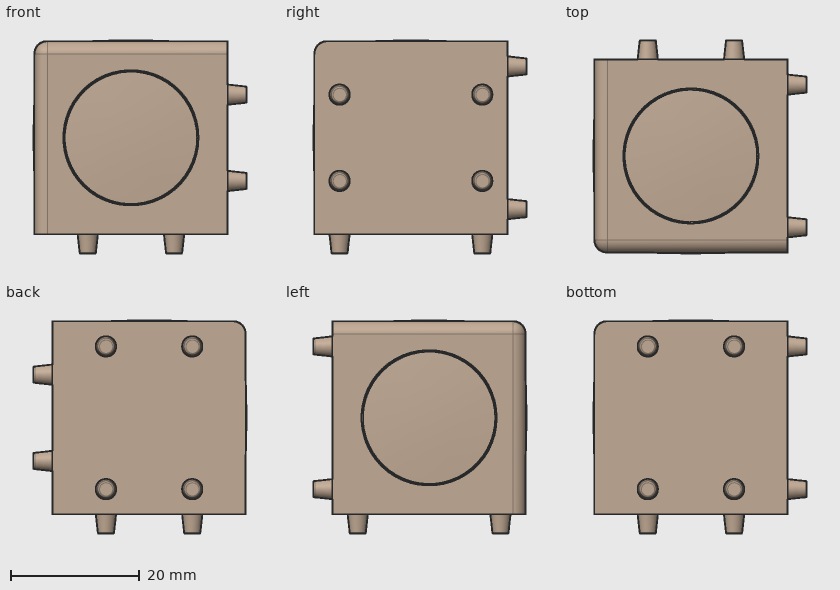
import cadquery as cq

OVERALL_SIZE = 33.15

CUBE_SIDE = 30.0
EDGE_RADIUS = 2.0
HALF_SIDE = CUBE_SIDE / 2

RECESS_RADIUS = 10.5
RIM_SIZE = 0.25
LENS_RADIUS = RECESS_RADIUS - RIM_SIZE
LENS_CROWN = 0.15
LENS_EDGE_THICKNESS = 1.0
SEAT_DEPTH = RIM_SIZE + LENS_EDGE_THICKNESS

PEG_LENGTH = OVERALL_SIZE - CUBE_SIDE - LENS_CROWN
PEG_BASE_RADIUS = 1.6
PEG_TIP_RADIUS = 1.25
PEG_TIP_ROUNDING = 0.25
PEG_NEAR_OFFSET = 6.7
PEG_FAR_OFFSET = 11.07

LENS_FACES = [
    cq.Plane(origin=(0, 0, HALF_SIDE), xDir=(1, 0, 0), normal=(0, 0, 1)),
    cq.Plane(origin=(0, -HALF_SIDE, 0), xDir=(1, 0, 0), normal=(0, -1, 0)),
    cq.Plane(origin=(-HALF_SIDE, 0, 0), xDir=(0, -1, 0), normal=(-1, 0, 0)),
]
PEG_FACES = [
    cq.Plane(origin=(0, 0, -HALF_SIDE), xDir=(1, 0, 0), normal=(0, 0, -1)),
    cq.Plane(origin=(0, HALF_SIDE, 0), xDir=(1, 0, 0), normal=(0, 1, 0)),
    cq.Plane(origin=(HALF_SIDE, 0, 0), xDir=(0, 0, 1), normal=(1, 0, 0)),
]


def make_block():
    """Cube with the three edges of one corner rounded."""
    block = cq.Workplane().box(CUBE_SIDE, CUBE_SIDE, CUBE_SIDE)
    edges = []
    for corner_edge in ("|X and <Y and >Z", "|Y and <X and >Z", "|Z and <X and <Y"):
        edges.append(block.edges(corner_edge).val())
    return cq.Workplane(block.val().fillet(EDGE_RADIUS, edges))


def make_recess(face):
    """Cutter for a lens seat: a countersunk rim above a flat-bottomed bore."""
    profile = (
        cq.Workplane("XZ")
        .moveTo(0, 0)
        .lineTo(RECESS_RADIUS, 0)
        .lineTo(LENS_RADIUS, -RIM_SIZE)
        .lineTo(LENS_RADIUS, -SEAT_DEPTH)
        .lineTo(0, -SEAT_DEPTH)
    )
    cutter = profile.close().revolve(360, (0, 0), (0, 1))
    return cutter.val().moved(cq.Location(face))


def make_lens(face):
    """Disc with a shallow spherical dome, filling its seat up to the rim."""
    dome_rise = LENS_CROWN + RIM_SIZE
    sphere_radius = (LENS_RADIUS**2 + dome_rise**2) / (2 * dome_rise)
    sphere_centre = (0, 0, LENS_CROWN - sphere_radius)
    blank = cq.Workplane().circle(LENS_RADIUS).extrude(SEAT_DEPTH + LENS_CROWN)
    blank = blank.translate((0, 0, -SEAT_DEPTH))
    ball = cq.Workplane("XZ").sphere(sphere_radius).translate(sphere_centre)
    lens = blank.intersect(ball)
    return lens.val().moved(cq.Location(face))


def make_peg(face, x, y):
    """Tapered peg with a rounded tip, standing on a face at local (x, y)."""
    peg = cq.Solid.makeCone(PEG_BASE_RADIUS, PEG_TIP_RADIUS, PEG_LENGTH)
    peg = cq.Workplane(peg).faces(">Z").edges().fillet(PEG_TIP_ROUNDING)
    return peg.val().moved(cq.Location((x, y, 0))).moved(cq.Location(face))


def make_housing():
    """Block with a lens seat on three faces and four pegs on each of the others."""
    housing = make_block()
    for face in LENS_FACES:
        housing = housing.cut(cq.Workplane(make_recess(face)))
    for face in PEG_FACES:
        for x in (-PEG_NEAR_OFFSET, PEG_NEAR_OFFSET):
            for y in (-PEG_FAR_OFFSET, PEG_FAR_OFFSET):
                housing = housing.union(cq.Workplane(make_peg(face, x, y)))
    return housing


housing = make_housing()
lenses = [make_lens(face) for face in LENS_FACES]

result = cq.Compound.makeCompound([housing.val(), *lenses])